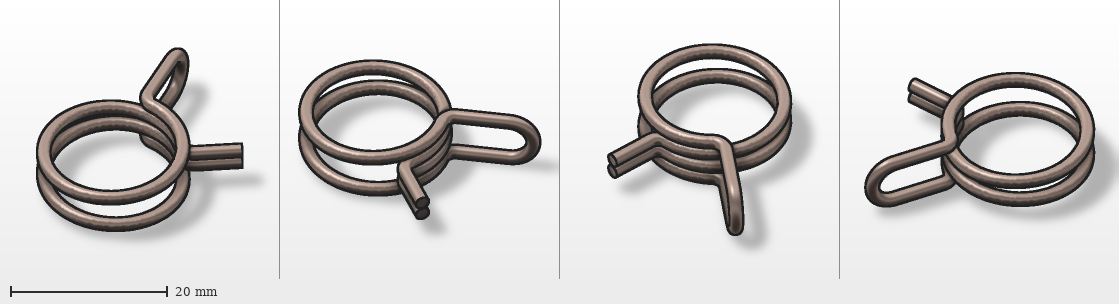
import cadquery as cq
import math


overall_length = 28.3
overall_height = 8.0
wire_diameter = 1.78
coil_inner_diameter = 15.95
bend_radius = 1.8
tang_gap = 0.1
tang_reach = 16.5
loop_angle = 120.0
tang_angle = 60.0

wire_radius = wire_diameter / 2
coil_radius = coil_inner_diameter / 2 + wire_radius
leg_height = overall_height / 2 - wire_radius
tang_height = (tang_gap + wire_diameter) / 2

bend_center_distance = coil_radius + bend_radius
bend_offset_angle = math.degrees(math.asin(bend_radius / bend_center_distance))
straight_start = math.sqrt(bend_center_distance**2 - bend_radius**2)

coil_outer_radius = coil_radius + wire_radius
loop_tip_reach = (overall_length - coil_outer_radius - wire_radius) / math.sin(math.radians(loop_angle))
loop_radius = leg_height
leg_end = loop_tip_reach - loop_radius

coil_start_angle = tang_angle + bend_offset_angle
coil_end_angle = loop_angle - bend_offset_angle + 360
coil_turns = (coil_end_angle - coil_start_angle) / 360
coil_rise = leg_height - tang_height
coil_pitch = coil_rise / coil_turns


def make_coil():
    path = cq.Wire.makeHelix(coil_pitch, coil_rise, coil_radius)
    section = cq.Workplane("XZ").center(coil_radius, 0).circle(wire_radius)
    coil = section.sweep(cq.Workplane(path), isFrenet=True)
    return coil.rotate((0, 0, 0), (0, 0, 1), coil_start_angle).translate((0, 0, tang_height))


def make_bend_and_straight(straight_end):
    """Wire along +X from straight_start, with a bend on its +Y side that meets the coil."""
    straight = (
        cq.Workplane("YZ", origin=(straight_start, 0, 0))
        .circle(wire_radius)
        .extrude(straight_end - straight_start)
    )
    bend = (
        cq.Workplane("YZ", origin=(straight_start, 0, 0))
        .circle(wire_radius)
        .revolve(90 - bend_offset_angle, (bend_radius, 0.28, 0), (bend_radius, 0, 0))
    )
    return straight.union(bend)


def make_tang():
    tang = make_bend_and_straight(tang_reach)
    return tang.rotate((0, 0, 0), (0, 0, 1), tang_angle).translate((0, 0, tang_height))


def make_leg():
    leg = make_bend_and_straight(leg_end).mirror("XZ")
    return leg.rotate((0, 0, 0), (0, 0, 1), loop_angle).translate((0, 0, leg_height))


def make_loop():
    loop = (
        cq.Workplane("YZ", origin=(leg_end, 0, leg_height))
        .circle(wire_radius)
        .revolve(180, (-0.28, -loop_radius, 0), (0.28, -loop_radius, 0))
    )
    return loop.rotate((0, 0, 0), (0, 0, 1), loop_angle)


upper_half = make_coil().union(make_tang()).union(make_leg())
lower_half = upper_half.mirror("XY")
result = upper_half.union(make_loop()).union(lower_half)